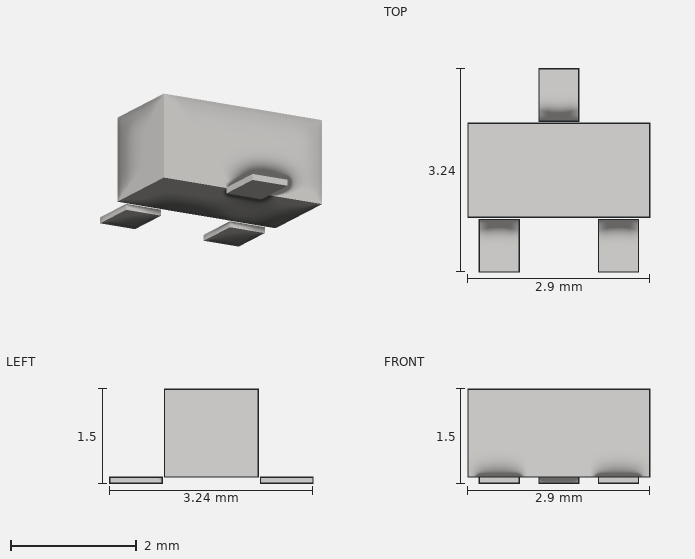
import cadquery as cq

housing_length = 2.9
housing_width = 1.5
housing_height = 1.4

pad_thickness = 0.1
pad_width = 0.64
pad_length = 0.84
pad_pitch = 0.95
pad_span = 3.24

pad_center_y = (pad_span - pad_length) / 2


def make_housing():
    """Plain rectangular block centred on the Z axis."""
    block = cq.Workplane("XY").box(
        housing_length, housing_width, housing_height, centered=(True, True, False)
    )
    return block.translate((0, 0, pad_thickness))


def make_pad(x, y):
    """Flat rectangular pad standing on Z = 0, centred at (x, y)."""
    pad = cq.Workplane("XY").box(
        pad_width, pad_length, pad_thickness, centered=(True, True, False)
    )
    return pad.translate((x, y, 0))


pad_centers = [
    (-pad_pitch, -pad_center_y),
    (pad_pitch, -pad_center_y),
    (0, pad_center_y),
]

housing = make_housing()
pads = [make_pad(x, y) for x, y in pad_centers]

result = cq.Compound.makeCompound([housing.val(), *[pad.val() for pad in pads]])